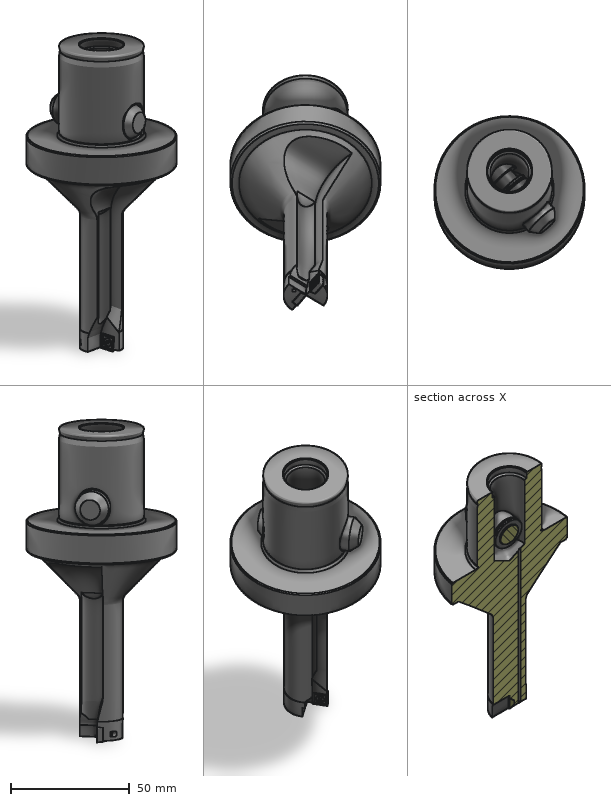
import cadquery as cq
import math

shank_top = 39.9
shank_radius = 18.0
shank_rounding = 1.0
waist_bottom = 2.5
waist_end = 5.0
waist_depth = 0.4
neck_top = 1.3
neck_bottom = 0.7
neck_depth = 0.7
foot_radius = 18.8

flange_radius = 31.8
flange_thickness = 13.1
flange_top_chamfer = 0.5
flange_bottom_chamfer = 0.8
cone_radius = 28.0
cone_end = -32.8

drill_radius = 9.1
head_radius = 9.2
head_top = -84.8
head_bottom = -93.1
cone_fillet = 4.5

bore_radius = 8.2
bore_entry_radius = 9.2
bore_entry_depth = 4.0
bore_entry_slope = 0.5
bore_mouth_chamfer = 0.4
bore_floor = -1.3
bore_point_angle = 118.0
coolant_radius = 0.8
coolant_x = 0.7
coolant_y = 5.5

pin_z = 8.8
pin_radius = 7.2
pin_left = -23.7
pin_left_tip_radius = 5.0
pin_left_tip_length = 3.5
pin_right = 19.7
pin_right_tip_radius = 5.2
pin_right_tip_length = 2.8
pin_tip_chamfer = 0.7
pin_mouth_start = 16.3
pin_mouth_radius = 8.2
pin_neck_radius = 5.0
pin_neck_left = -0.5
pin_neck_right = 4.3
pin_groove_left = -2.4
pin_groove_width = 0.8
pin_groove_depth = 0.5

flute_floor = 2.1
flute_floor_pivot = 7.4
flute_floor_tilt = 10.0
flute_top = -15.1
flute_end_radius = 18.1
ramp_top = -75.5
ramp_bottom = -81.5
ramp_slant = 42.0
inner_flute_wall = 3.8
outer_flute_wall = 4.5

groove_radius = 5.1
groove_x = 6.8
groove_y = -3.1
groove_top = -30.7
groove_bend = -77.6
groove_lean = 2.0
groove_lean_length = 7.9

inner_pocket_corner = (0.5, -84.2)
inner_pocket_wall = -0.4
outer_curve_wall = 1.6
outer_pocket_wall = 0.7
outer_curve_top = -82.4
outer_curve_bottom = -87.1
outer_pocket_top = -88.0

insert_size = 6.7
insert_thickness = 2.5
insert_corner = 0.5
chipbreaker_inset = 0.8
chipbreaker_depth = 0.3
insert_taper = 7.0
inner_insert_x = 3.1
inner_insert_z = -90.5
inner_insert_turn = 6.0
outer_insert_x = 6.3
outer_insert_z = -90.5
screw_radius = 1.2
screw_tail_chamfer = 0.4
screw_head_radius = 1.9
screw_head_height = 1.0
screw_length = 5.8
screw_hole_depth = 10.7
socket_width = 1.3
socket_depth = 0.7

clear = 40.2
bottom_clear = -100.5


def half_turn(shape):
    """Turn a shape to the opposite side of the drill axis."""
    return shape.rotate((0, 0, 0), (0, 0, 1), 180)


def housing_blank():
    cone_angle = math.atan2(cone_radius - drill_radius, -flange_thickness - cone_end)
    tangent = cone_fillet * math.tan(cone_angle / 2)
    fillet_start = (
        drill_radius + tangent * math.sin(cone_angle),
        cone_end + tangent * math.cos(cone_angle),
    )
    fillet_end = (drill_radius, cone_end - tangent)
    fillet_middle = (
        drill_radius + cone_fillet * (1 - math.cos(cone_angle / 2)),
        cone_end - tangent + cone_fillet * math.sin(cone_angle / 2),
    )
    rounding_centre = (shank_radius - shank_rounding, shank_top - shank_rounding)
    rounding_middle = (
        rounding_centre[0] + shank_rounding * math.sqrt(0.5),
        rounding_centre[1] + shank_rounding * math.sqrt(0.5),
    )
    neck_radius = shank_radius - neck_depth
    outline = (
        cq.Workplane("XZ")
        .moveTo(0, shank_top)
        .lineTo(rounding_centre[0], shank_top)
        .threePointArc(rounding_middle, (shank_radius, rounding_centre[1]))
        .lineTo(shank_radius - waist_depth, shank_top - waist_bottom)
        .lineTo(shank_radius, shank_top - waist_end)
        .lineTo(shank_radius, neck_top)
        .lineTo(neck_radius, neck_bottom)
        .lineTo(foot_radius, 0)
        .lineTo(flange_radius - flange_top_chamfer, 0)
        .lineTo(flange_radius, -flange_top_chamfer)
        .lineTo(flange_radius, flange_bottom_chamfer - flange_thickness)
        .lineTo(flange_radius - flange_bottom_chamfer, -flange_thickness)
        .lineTo(cone_radius, -flange_thickness)
        .lineTo(*fillet_start)
        .threePointArc(fillet_middle, fillet_end)
        .lineTo(drill_radius, head_top)
        .lineTo(head_radius, head_top)
        .lineTo(head_radius, head_bottom)
        .lineTo(0, head_bottom)
        .close()
    )
    return outline.revolve(360, (0, 0, 0), (0, 1, 0))


def bore():
    entry_bottom = shank_top - bore_entry_depth
    point_depth = bore_radius / math.tan(math.radians(bore_point_angle / 2))
    outline = (
        cq.Workplane("XZ")
        .moveTo(0, shank_top)
        .lineTo(bore_entry_radius + bore_mouth_chamfer, shank_top)
        .lineTo(bore_entry_radius, shank_top - bore_mouth_chamfer)
        .lineTo(bore_entry_radius, entry_bottom + bore_entry_slope)
        .lineTo(bore_radius, entry_bottom)
        .lineTo(bore_radius, bore_floor)
        .lineTo(0, bore_floor - point_depth)
        .close()
    )
    return outline.revolve(360, (0, 0, 0), (0, 1, 0))


def coolant_hole():
    plane = cq.Workplane("XY", origin=(coolant_x, coolant_y, bottom_clear))
    return plane.circle(coolant_radius).extrude(bore_floor - bottom_clear)


def flute_floor_space():
    """Everything in front of the tilted flute floor and of the ramp up to the cutting plane."""
    pivot = (flute_floor_pivot, 0, ramp_top)
    over_floor = (
        cq.Workplane("XY")
        .box(4 * clear, clear, 8 * clear)
        .translate((0, flute_floor - clear / 2, 0))
        .rotate(pivot, (pivot[0], 0, ramp_top + 1.3), flute_floor_tilt)
    )
    ramp_rise = (ramp_top - ramp_bottom) / flute_floor
    over_ramp = (
        cq.Workplane("YZ")
        .polyline([
            (-clear, 2 * clear),
            (clear, 2 * clear),
            (clear, ramp_bottom + clear * ramp_rise),
            (0, ramp_bottom),
            (0, bottom_clear - clear),
            (-clear, bottom_clear - clear),
        ])
        .close()
        .extrude(2 * clear, both=True)
        .rotate(pivot, (pivot[0], 1, ramp_top), ramp_slant)
    )
    return over_floor.intersect(over_ramp)


def flute_outline(wall):
    """Upper part of a flute seen along Y: its rounded end and the start of its straight wall."""
    arc_centre = (wall + flute_end_radius, flute_top - flute_end_radius)
    arc_middle = (
        arc_centre[0] - flute_end_radius * math.sqrt(0.5),
        arc_centre[1] + flute_end_radius * math.sqrt(0.5),
    )
    return (
        cq.Workplane("XZ")
        .moveTo(clear, bottom_clear)
        .lineTo(clear, flute_top)
        .lineTo(arc_centre[0], flute_top)
        .threePointArc(arc_middle, (wall, arc_centre[1]))
    )


def wall_groove(lean):
    """Round hollow along a flute wall, from a 45 degree overhang down into the chip pocket."""
    start = groove_top + groove_radius
    lean_angle = math.radians(lean)
    end = (
        groove_x - groove_lean_length * math.sin(lean_angle),
        groove_bend - groove_lean_length * math.cos(lean_angle),
    )
    path = (
        cq.Workplane("XZ", origin=(0, groove_y, 0))
        .polyline([(groove_x, start), (groove_x, groove_bend), end])
    )
    groove = (
        cq.Workplane("XY", origin=(groove_x, groove_y, start))
        .circle(groove_radius)
        .sweep(path, transition="right")
    )
    overhang = (
        cq.Workplane("XZ")
        .polyline([
            (outer_flute_wall + clear, groove_top + clear),
            (outer_flute_wall - clear, groove_top - clear),
            (outer_flute_wall - clear, groove_top + clear),
        ])
        .close()
        .extrude(clear, both=True)
    )
    return groove.cut(overhang)


def inner_flute():
    """Flute whose wall runs in towards the axis to clear the inner insert."""
    outline = (
        flute_outline(inner_flute_wall)
        .lineTo(inner_flute_wall, groove_bend)
        .lineTo(*inner_pocket_corner)
        .lineTo(inner_pocket_wall, inner_insert_z + insert_size / 2)
        .lineTo(inner_pocket_wall, bottom_clear)
    )
    flute = outline.close().extrude(clear, both=True).union(wall_groove(0))
    return flute.intersect(flute_floor_space())


def outer_flute():
    """Flute whose wall curves in to a chip pocket above the outer insert."""
    step = outer_flute_wall - outer_curve_wall
    height = outer_curve_top - outer_curve_bottom
    curve_radius = (step ** 2 + height ** 2) / (2 * step)
    half_angle = math.asin(height / curve_radius) / 2
    curve_middle = (
        outer_curve_wall + curve_radius * (1 - math.cos(half_angle)),
        outer_curve_bottom + curve_radius * math.sin(half_angle),
    )
    outline = (
        flute_outline(outer_flute_wall)
        .lineTo(outer_flute_wall, outer_curve_top)
        .threePointArc(curve_middle, (outer_curve_wall, outer_curve_bottom))
        .lineTo(outer_curve_wall, outer_pocket_top)
        .lineTo(outer_pocket_wall, outer_pocket_top)
        .lineTo(outer_pocket_wall, bottom_clear)
    )
    flute = outline.close().extrude(clear, both=True).union(wall_groove(groove_lean))
    return half_turn(flute.intersect(flute_floor_space()))


def insert_blank(x, z, turn):
    """Square insert whose rake face lies on the cutting plane Y = 0."""
    plane = cq.Plane(origin=(0, 0, 0), xDir=(1, 0, 0), normal=(0, 1, 0))
    blank = (
        cq.Workplane(plane)
        .rect(insert_size, insert_size)
        .extrude(insert_thickness, taper=insert_taper)
        .edges("not #Y")
        .fillet(insert_corner)
    )
    return blank.rotate((0, 0, 0), (0, 1, 0), turn).translate((x, 0, z))


def chipbreaker(x, z, turn):
    """Shallow square recess in the rake face of an insert."""
    width = insert_size - 2 * chipbreaker_inset
    recess = cq.Workplane("XZ").rect(width, width).extrude(-chipbreaker_depth)
    return recess.rotate((0, 0, 0), (0, 1, 0), turn).translate((x, 0, z))


def screw_blank(x, z, length):
    """Countersunk screw with its head flush with the rake face."""
    outline = (
        cq.Workplane("XY")
        .lineTo(screw_head_radius, 0)
        .lineTo(screw_radius, screw_head_height)
        .lineTo(screw_radius, length - screw_tail_chamfer)
        .lineTo(screw_radius - screw_tail_chamfer, length)
        .lineTo(0, length)
        .close()
    )
    return outline.revolve(360, (0, 0, 0), (0, 1, 0)).translate((x, 0, z))


def insert_screw(x, z):
    socket = (
        cq.Workplane("XZ", origin=(x, 0, z))
        .polygon(6, socket_width)
        .extrude(-socket_depth)
    )
    return screw_blank(x, z, screw_length).cut(socket)


cutting_places = [
    (inner_insert_x, inner_insert_z, inner_insert_turn, screw_length, False),
    (outer_insert_x, outer_insert_z, 0, screw_hole_depth, True),
]
seats = []
inserts = []
screws = []
for x, z, turn, hole_depth, opposite in cutting_places:
    blank = insert_blank(x, z, turn)
    screw_hole = screw_blank(x, z, hole_depth)
    seat = blank.union(screw_hole)
    insert = blank.cut(chipbreaker(x, z, turn)).cut(screw_hole)
    screw = insert_screw(x, z)
    if opposite:
        seat, insert, screw = half_turn(seat), half_turn(insert), half_turn(screw)
    seats.append(seat)
    inserts.append(insert)
    screws.append(screw)


def coupling_pin():
    groove_right = pin_groove_left + pin_groove_width
    outline = (
        cq.Workplane("XZ")
        .moveTo(pin_left, 0)
        .lineTo(pin_left, pin_left_tip_radius - pin_tip_chamfer)
        .lineTo(pin_left + pin_tip_chamfer, pin_left_tip_radius)
        .lineTo(pin_left + pin_left_tip_length, pin_radius)
        .lineTo(pin_groove_left, pin_radius)
        .lineTo(pin_groove_left, pin_radius - pin_groove_depth)
        .lineTo(groove_right, pin_radius - pin_groove_depth)
        .lineTo(groove_right, pin_radius)
        .lineTo(pin_neck_left, pin_radius)
        .lineTo(pin_neck_left, pin_neck_radius)
        .lineTo(pin_neck_right, pin_neck_radius)
        .lineTo(pin_neck_right, pin_radius)
        .lineTo(pin_right - pin_right_tip_length, pin_radius)
        .lineTo(pin_right - pin_tip_chamfer, pin_right_tip_radius)
        .lineTo(pin_right, pin_right_tip_radius - pin_tip_chamfer)
        .lineTo(pin_right, 0)
        .close()
    )
    return outline.revolve(360, (0, 0, 0), (1, 0, 0)).translate((0, 0, pin_z))


def pin_hole():
    """Cross hole that fits the pin, with a conical mouth at both ends."""
    outline = (
        cq.Workplane("XZ")
        .moveTo(-shank_radius, 0)
        .lineTo(-shank_radius, pin_mouth_radius)
        .lineTo(-pin_mouth_start, pin_radius)
        .lineTo(pin_mouth_start, pin_radius)
        .lineTo(shank_radius, pin_mouth_radius)
        .lineTo(shank_radius, 0)
        .close()
    )
    return outline.revolve(360, (0, 0, 0), (1, 0, 0)).translate((0, 0, pin_z))


housing = (
    housing_blank()
    .cut(bore())
    .cut(pin_hole())
    .cut(coolant_hole())
    .cut(inner_flute())
    .cut(outer_flute())
)
for seat in seats:
    housing = housing.cut(seat)

pin = coupling_pin()

result = cq.Compound.makeCompound([
    housing.val(),
    pin.val(),
    *[insert.val() for insert in inserts],
    *[screw.val() for screw in screws],
])